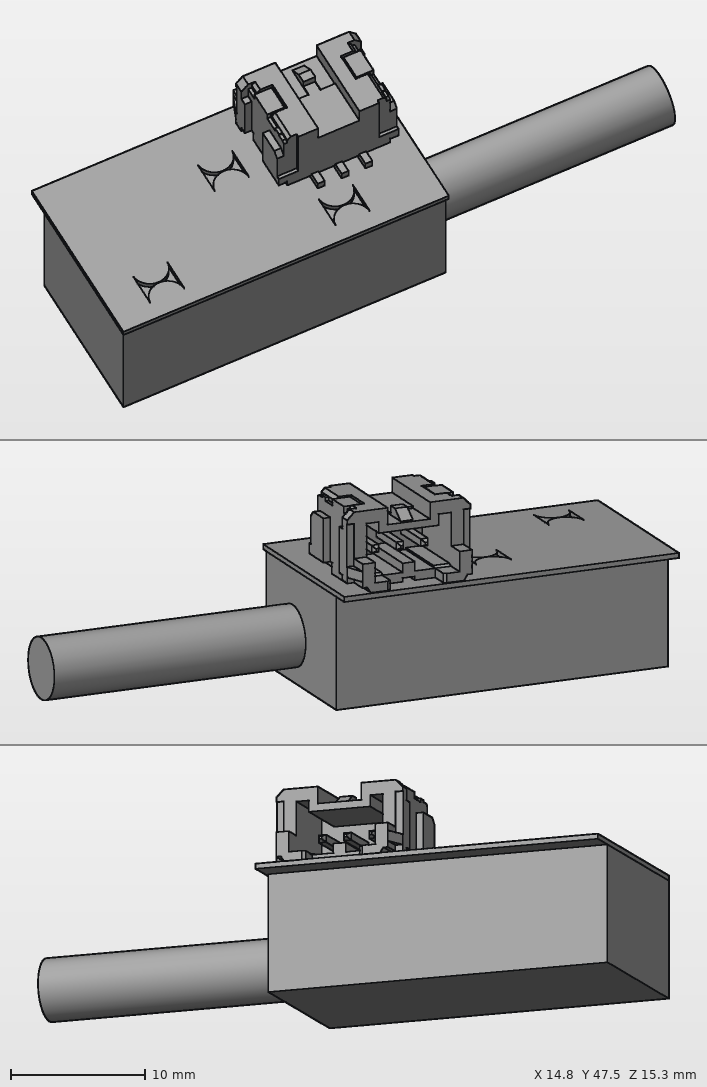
import cadquery as cq

BOARD_X = 14.75
BOARD_Y = 27.3
BOARD_T = 0.4
TOTAL_Y = 47.55
TOTAL_Z = 15.31

BLOCK_Z = 9.0
BLOCK_INSET_X = 2.0
BLOCK_INSET_Y = 0.25

CABLE_D = 4.8
CABLE_X = 9.95
CABLE_Z = 3.6

WINDOW_CENTERS = [(11.9, 20.0), (4.95, 13.5), (11.9, 4.45)]
WINDOW_LENGTH = 2.88
LAND_R = 1.43
LAND_GAP = 0.06
WINDOW_WIDTH = 2.7

CONN_Y = BOARD_Y - 6.04
BOARD_TOP = BLOCK_Z + BOARD_T
HOUSING_H = TOTAL_Z - BOARD_TOP
HOUSING_X0 = 1.73
HOUSING_X1 = 8.63
HALF_BODY = 4.46
HALF_OUTER = 5.03
CORNER = HALF_OUTER - HALF_BODY
BODY_Z0 = 0.43
BASE_HALF = (3.8, 4.1)
BASE_X1 = 6.76

TONGUE_X0 = 0.17
TONGUE_H = 2.3
TONGUE_NOTCH_HALF = 2.16
NOTCH_BEVEL_X = 0.15
NOTCH_BEVEL_Y = 0.25

CAVITY_HALF = 3.45
CAVITY_FLOOR = 0.72
CAVITY_ROOF = 4.03
CAVITY_X1 = 7.0
KEYWAY_HALF_INNER = 2.45
KEYWAY_ROOF = 4.9
PAD_HALF_INNER = 2.12
PAD_TOP = 0.86
PAD_RAMP = 0.3
RIB_HALF = 0.5
RIB_TOP = 1.44
UNDERCUT_H = 0.29

TOP_SLOT_HALF = 1.73
TOP_SLOT_REAR_Z = 4.75
TOP_SLOT_FRONT_Z = 4.6
TOP_SLOT_STEP_X = 4.75
LATCH_X = (2.1, 3.13, 3.9)
LATCH_TOP = 5.32

SHOULDER_X = 2.6
REAR_STRIP_X = 8.35
SHOULDER_Z = 5.33
SHOULDER_BEVEL_Y = 3.88
SHOULDER_WALL_Y = 4.17
REAR_NOTCH_HALF = 3.4
REAR_NOTCH_Z = 1.66

PLATE_Z0 = 0.86
FRONT_RELIEF = 0.1
FRONT_RELIEF_Z = 5.0
FOOT_RELIEF = 0.15
FRONT_PLATE_X1 = 3.17
FRONT_PLATE_Z1 = 4.46
REAR_PLATE_X0 = 6.04
REAR_PLATE_Z1 = 4.3
REAR_PLATE_BEVEL = 0.45
WEDGE_Z = (0.9, 1.7)
LEDGE_X = (6.94, 7.55, 8.1)
LEDGE_Z = (5.61, 5.47)

CLIP_X = (3.6, 5.68)
CLIP_SLOT_X = (3.45, 5.83)
CLIP_SLOT_Y = 2.87
CLIP_TIP_Y = 3.02
CLIP_SLOT_Z = 5.6
CLIP_TOP_Z = 5.83
CLIP_FOOT_X = (3.45, 5.76)
CLIP_FOOT_Y = 4.2

PIN_COUNT = 3
PIN_PITCH = 2.0
PIN_W = 0.58
PIN_Z = 2.3
PIN_TIP_X = 3.0
PIN_TIP_LENGTH = 0.4
PIN_TIP_W = 0.2
PIN_FOOT_X = (7.9, 9.64)


def box(x, y, z):
    """Axis-aligned box from three (low, high) ranges."""
    size = [high - low for low, high in (x, y, z)]
    return cq.Workplane("XY").box(*size, centered=False).translate((x[0], y[0], z[0]))


def along_x(points, x0, x1):
    """Prism with a (y, z) outline, running from x0 to x1."""
    return cq.Workplane("YZ").workplane(offset=x0).polyline(points).close().extrude(x1 - x0)


def along_y(points, y0, y1):
    """Prism with an (x, z) outline, running from y0 to y1."""
    return cq.Workplane("XZ").workplane(offset=-y1).polyline(points).close().extrude(y1 - y0)


def both_sides(shape):
    """The +Y feature together with its mirror image."""
    return shape.union(shape.mirror("XZ"))


BLOCK_Y1 = BOARD_Y - BLOCK_INSET_Y


def make_block():
    return box((BLOCK_INSET_X, BOARD_X), (0, BLOCK_Y1), (0, BLOCK_Z))


def make_cable():
    face = cq.Workplane("XZ", origin=(CABLE_X, BLOCK_Y1, CABLE_Z))
    return face.circle(CABLE_D / 2).extrude(BLOCK_Y1 - TOTAL_Y)


def make_board():
    board = box((0, BOARD_X), (0, BOARD_Y), (BLOCK_Z, BOARD_TOP))
    for x, y in WINDOW_CENTERS:
        base = cq.Workplane("XY", origin=(x, y, BLOCK_Z))
        land_offset = LAND_R + LAND_GAP / 2
        lands = base.pushPoints([(-land_offset, 0), (land_offset, 0)]).circle(LAND_R).extrude(BOARD_T)
        window = base.rect(WINDOW_WIDTH, WINDOW_LENGTH).extrude(BOARD_T).cut(lands)
        board = board.cut(window)
    return board


def make_shroud():
    """Outer body: base bevelled along its lower edges, raised rear and front tongue."""
    bevelled = [
        (-BASE_HALF[0], 0),
        (BASE_HALF[0], 0),
        (BASE_HALF[1], BODY_Z0),
        (HALF_BODY, BODY_Z0),
        (HALF_BODY, TONGUE_H),
        (-HALF_BODY, TONGUE_H),
        (-HALF_BODY, BODY_Z0),
        (-BASE_HALF[1], BODY_Z0),
    ]
    base = along_x(bevelled, TONGUE_X0, BASE_X1)
    body = box((HOUSING_X0, HOUSING_X1), (-HALF_BODY, HALF_BODY), (BODY_Z0, HOUSING_H))
    return base.union(body)


def make_side_plates():
    """Raised plates on the +Y flank: front plate, lead-in wedge and rear plate."""
    front_outline = [
        (HALF_BODY, BODY_Z0),
        (HALF_OUTER, BODY_Z0),
        (HALF_OUTER, HOUSING_H - CORNER),
        (HALF_BODY, HOUSING_H),
    ]
    front = along_x(front_outline, HOUSING_X0, SHOULDER_X)
    flank_y = (HALF_BODY, HALF_OUTER)
    front = front.cut(box((HOUSING_X0, HOUSING_X0 + FRONT_RELIEF), flank_y, (WEDGE_Z[1], FRONT_RELIEF_Z)))
    front = front.union(box((SHOULDER_X, FRONT_PLATE_X1), flank_y, (PLATE_Z0, FRONT_PLATE_Z1)))
    wedge = (
        cq.Workplane("XY", origin=(0, 0, WEDGE_Z[0]))
        .polyline([(TONGUE_X0, HALF_BODY), (HOUSING_X0, HALF_BODY), (HOUSING_X0, HALF_OUTER)])
        .close()
        .extrude(WEDGE_Z[1] - WEDGE_Z[0])
    )
    rear_outline = [
        (REAR_PLATE_X0, PLATE_Z0),
        (HOUSING_X1, PLATE_Z0),
        (HOUSING_X1, REAR_NOTCH_Z),
        (REAR_STRIP_X, REAR_NOTCH_Z),
        (REAR_STRIP_X, REAR_PLATE_Z1 - REAR_PLATE_BEVEL),
        (REAR_STRIP_X - REAR_PLATE_BEVEL, REAR_PLATE_Z1),
        (REAR_PLATE_X0, REAR_PLATE_Z1),
    ]
    return front.union(wedge).union(along_y(rear_outline, *flank_y))


def make_shoulder_cut():
    """Material removed from the +Y upper edge and from the rear corner."""
    bevel = SHOULDER_WALL_Y - SHOULDER_BEVEL_Y
    outline = [
        (SHOULDER_BEVEL_Y, HOUSING_H),
        (SHOULDER_WALL_Y, HOUSING_H - bevel),
        (SHOULDER_WALL_Y, SHOULDER_Z),
        (HALF_BODY, SHOULDER_Z),
        (HALF_BODY, HOUSING_H),
    ]
    shoulder = along_x(outline, SHOULDER_X, REAR_STRIP_X)
    corner = box((REAR_STRIP_X, HOUSING_X1), (REAR_NOTCH_HALF, HALF_OUTER), (REAR_NOTCH_Z, HOUSING_H))
    return shoulder.union(corner)


def make_foot_relief():
    """Inset along the +Y lower edge, below the side plates."""
    inset_y = (HALF_BODY - FOOT_RELIEF, HALF_BODY)
    return box((SHOULDER_X, HOUSING_X1), inset_y, (BODY_Z0, PLATE_Z0))


def make_ledge():
    """Stepped ridge on the +Y shoulder near the rear."""
    outline = [
        (LEDGE_X[0], SHOULDER_Z),
        (LEDGE_X[0], LEDGE_Z[0]),
        (LEDGE_X[1], LEDGE_Z[0]),
        (LEDGE_X[1], LEDGE_Z[1]),
        (LEDGE_X[2], LEDGE_Z[1]),
        (REAR_STRIP_X, SHOULDER_Z),
    ]
    return along_y(outline, SHOULDER_WALL_Y, HALF_BODY)


def make_cavity():
    """Mating cavity with two keyways in its roof, and a polarising rib and two pads on its floor."""
    span_x = (TONGUE_X0, CAVITY_X1)
    cavity = box(span_x, (-CAVITY_HALF, CAVITY_HALF), (CAVITY_FLOOR, CAVITY_ROOF))
    keyway = box(span_x, (KEYWAY_HALF_INNER, CAVITY_HALF), (CAVITY_ROOF, KEYWAY_ROOF))
    rib = box(span_x, (-RIB_HALF, RIB_HALF), (CAVITY_FLOOR, RIB_TOP))
    pad_outline = [
        (HOUSING_X0, CAVITY_FLOOR),
        (HOUSING_X0 + PAD_RAMP, PAD_TOP),
        (CAVITY_X1, PAD_TOP),
        (CAVITY_X1, CAVITY_FLOOR),
    ]
    pad = along_y(pad_outline, PAD_HALF_INNER, CAVITY_HALF)
    return cavity.union(both_sides(keyway)).cut(rib).cut(both_sides(pad))


def make_tongue_notch():
    """Central gap in the front tongue, widening at its mouth."""
    bevel_x = TONGUE_X0 + NOTCH_BEVEL_X
    mouth = TONGUE_NOTCH_HALF + NOTCH_BEVEL_Y
    outline = [
        (TONGUE_X0, -mouth),
        (bevel_x, -TONGUE_NOTCH_HALF),
        (HOUSING_X0, -TONGUE_NOTCH_HALF),
        (HOUSING_X0, TONGUE_NOTCH_HALF),
        (bevel_x, TONGUE_NOTCH_HALF),
        (TONGUE_X0, mouth),
    ]
    return cq.Workplane("XY").polyline(outline).close().extrude(TONGUE_H)


def make_top_slot():
    """Slot along the top, lower in front except for a strip behind the latch."""
    slot_y = (-TOP_SLOT_HALF, TOP_SLOT_HALF)
    rear = box((HOUSING_X0, HOUSING_X1), slot_y, (TOP_SLOT_REAR_Z, HOUSING_H))
    front = box((HOUSING_X0, TOP_SLOT_STEP_X), slot_y, (TOP_SLOT_FRONT_Z, TOP_SLOT_REAR_Z))
    strip_y = (-RIB_HALF, RIB_HALF)
    strip = box((LATCH_X[2], TOP_SLOT_STEP_X), strip_y, (TOP_SLOT_FRONT_Z, TOP_SLOT_REAR_Z))
    return rear.union(front.cut(strip))


def make_latch():
    """Ramped latch bump on the floor of the top slot."""
    toe, crest, end = LATCH_X
    outline = [
        (toe, TOP_SLOT_FRONT_Z),
        (crest, LATCH_TOP),
        (end, LATCH_TOP),
        (end, TOP_SLOT_FRONT_Z),
    ]
    return along_y(outline, -RIB_HALF, RIB_HALF)


def make_clip_slot():
    """Pocket in the +Y top edge that takes the folded end of the clip."""
    return box(CLIP_SLOT_X, (CLIP_SLOT_Y, HALF_BODY), (CLIP_SLOT_Z, HOUSING_H))


def make_clip():
    """Hold-down clip on the +Y side: folded top end and foot on the board."""
    top = box(CLIP_X, (CLIP_TIP_Y, HALF_BODY), (SHOULDER_Z, CLIP_TOP_Z))
    foot = box(CLIP_FOOT_X, (CLIP_FOOT_Y, HALF_BODY), (0, PLATE_Z0))
    return top.union(foot)


def make_terminal(y):
    """Contact pin with a tapered tip, and its solder foot behind the housing."""
    pin_end_x = PIN_TIP_X + PIN_TIP_LENGTH
    half = PIN_W / 2
    tip = (
        cq.Workplane("YZ", origin=(PIN_TIP_X, y, PIN_Z))
        .rect(PIN_TIP_W, PIN_TIP_W)
        .workplane(offset=PIN_TIP_LENGTH)
        .rect(PIN_W, PIN_W)
        .loft()
    )
    pin = box((pin_end_x, CAVITY_X1), (y - half, y + half), (PIN_Z - half, PIN_Z + half))
    foot = box(PIN_FOOT_X, (y - half, y + half), (0, PIN_W))
    return tip.union(pin), foot


def make_connector():
    body = make_shroud().cut(both_sides(make_shoulder_cut())).cut(both_sides(make_foot_relief()))
    body = body.union(both_sides(make_side_plates())).union(both_sides(make_ledge()))
    body = body.cut(make_cavity()).cut(make_tongue_notch()).cut(make_top_slot())
    body = body.cut(both_sides(make_clip_slot()))
    body = body.cut(box((HOUSING_X0, BASE_X1), (-RIB_HALF, RIB_HALF), (0, UNDERCUT_H)))
    body = body.union(make_latch()).union(both_sides(make_clip()))
    for i in range(PIN_COUNT):
        pin, foot = make_terminal((i - (PIN_COUNT - 1) / 2) * PIN_PITCH)
        body = body.union(pin).union(foot)
    return body.translate((0, CONN_Y, BOARD_TOP))


block = make_block()
cable = make_cable()
board = make_board()
connector = make_connector()

result = cq.Compound.makeCompound([*block.vals(), *cable.vals(), *board.vals(), *connector.vals()])